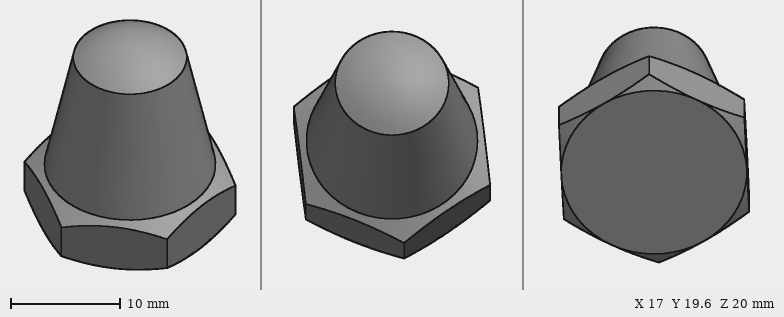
import cadquery as cq
import math

across_flats = 17.0
flat_radius = across_flats / 2
corner_radius = flat_radius / math.cos(math.radians(30))
chamfer_slope = math.tan(math.radians(30))

total_height = 20.0
base_height = 5.4
body_bottom_radius = 7.85
body_top_radius = 5.2
dome_height = 1.65
dome_start = total_height - dome_height


def chamfer_envelope():
    """Revolved solid that trims the hexagon corners at 30 degrees, top and bottom."""
    lower_edge = (corner_radius - flat_radius) * chamfer_slope
    upper_edge = base_height - (corner_radius - body_bottom_radius) * chamfer_slope
    return (
        cq.Workplane("XZ")
        .lineTo(flat_radius, 0)
        .lineTo(corner_radius, lower_edge)
        .lineTo(corner_radius, upper_edge)
        .lineTo(body_bottom_radius, base_height)
        .lineTo(0, base_height)
        .close()
        .revolve(360, (0, 0, 0), (0, 1, 0))
    )


def hex_base():
    """Hexagon with its flats facing +X and -X and its corners on the Y axis."""
    prism = (
        cq.Workplane("XY")
        .transformed(rotate=(0, 0, 90))
        .polygon(6, 2 * corner_radius)
        .extrude(base_height)
    )
    return prism.intersect(chamfer_envelope())


def domed_body():
    """Conical body closed by a spherical cap."""
    dome_radius = (body_top_radius**2 + dome_height**2) / (2 * dome_height)
    half_angle = math.asin(body_top_radius / dome_radius) / 2
    dome_middle = (
        dome_radius * math.sin(half_angle),
        total_height - dome_radius * (1 - math.cos(half_angle)),
    )
    return (
        cq.Workplane("XZ")
        .moveTo(0, base_height)
        .lineTo(body_bottom_radius, base_height)
        .lineTo(body_top_radius, dome_start)
        .threePointArc(dome_middle, (0, total_height))
        .close()
        .revolve(360, (0, 0, 0), (0, 1, 0))
    )


result = hex_base().union(domed_body())